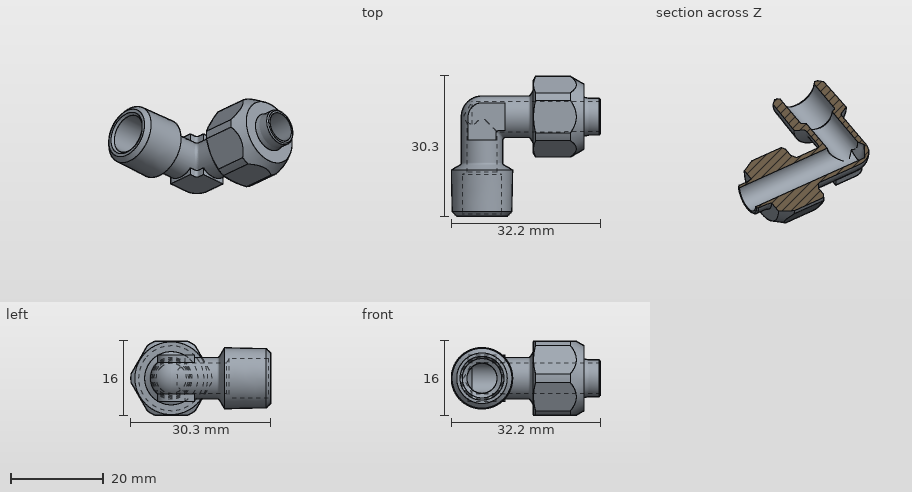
import cadquery as cq
import math


neck_radius = 4.5
neck_length = 9.0
neck_fillet = 0.5
inner_bend_fillet = 0.6
shoulder_angle = 60.0

pad_half_width = 3.0
pad_arm_reach = 5.0
pad_half_height = 5.0

thread_end = 21.5
thread_length = 10.0
thread_root_radius = 6.65
thread_tip_radius = 6.46
thread_chamfer = 1.0

nut_start = 11.05
nut_end = 22.05
nut_across_flats = 16.0
nut_corner_radius = 8.75
nut_back_radius = 7.85
nut_front_radius = 7.03
nut_back_angle = 60.0
nut_front_angle = 30.0
nut_shoulder_radius = 5.75

sleeve_end = 25.54
sleeve_radius = 4.0
sleeve_cone_length = 1.05
sleeve_cone_angle = 12.0
sleeve_chamfer = 0.3

bore_radius = 3.25
bore_end = 2.15
counterbore_radius = 4.25
counterbore_depth = 9.0
counterbore_chamfer = 0.5
drill_half_angle = 60.0


def tan_deg(angle):
    return math.tan(math.radians(angle))


def turn(outline):
    """Solid of revolution about +X from an outline in (axial, radius) coordinates."""
    return outline.close().revolve(360, (0, 0, 0), (1, 0, 0))


def turn_points(points):
    """Solid of revolution about +X from a straight-sided outline."""
    return turn(cq.Workplane("XY").polyline(points))


def along_minus_y(solid):
    """Swing a solid built along +X round to -Y."""
    return solid.rotate((0, 0, 0), (0, 0, 1), -90)


def shoulder_outline(wide_position, wide_radius):
    """Outline from the axis along the neck and up its blended shoulder cone."""
    slope = math.radians(shoulder_angle)
    corner = wide_position - (wide_radius - neck_radius) / math.tan(slope)
    tangent = neck_fillet * math.tan(slope / 2)
    arc_start = corner - tangent

    def arc_point(angle):
        return (
            arc_start + neck_fillet * math.sin(angle),
            neck_radius + neck_fillet * (1 - math.cos(angle)),
        )

    return (
        cq.Workplane("XY")
        .lineTo(0, neck_radius)
        .lineTo(*arc_point(0))
        .threePointArc(arc_point(slope / 2), arc_point(slope))
        .lineTo(wide_position, wide_radius)
    )


def make_pads():
    """Flat L-shaped pads with a round outer corner, one on each side of the elbow."""
    w = pad_half_width
    pads = (
        cq.Workplane("XY", origin=(0, 0, -pad_half_height))
        .moveTo(-w, 0)
        .radiusArc((0, w), w)
        .lineTo(pad_arm_reach, w)
        .lineTo(pad_arm_reach, -w)
        .lineTo(w, -w)
        .lineTo(w, -pad_arm_reach)
        .lineTo(-w, -pad_arm_reach)
        .close()
        .extrude(2 * pad_half_height)
    )
    pad_base = math.sqrt(neck_radius**2 - w**2)
    gap = cq.Workplane("XY").box(4 * pad_arm_reach, 4 * pad_arm_reach, 2 * pad_base)
    return pads.cut(gap)


def make_elbow():
    """Two necks with a ball at the outside of the bend, wrench pads and a blended inside."""
    neck = cq.Workplane("YZ").circle(neck_radius).extrude(neck_length)
    ball = cq.Workplane("XY").sphere(neck_radius)
    elbow = neck.union(along_minus_y(neck)).union(ball).union(make_pads())
    w = pad_half_width
    inside_corner = cq.selectors.BoxSelector(
        (w - inner_bend_fillet, -w + inner_bend_fillet, -pad_half_height),
        (neck_radius, -neck_radius, pad_half_height),
    )
    crease = elbow.edges(inside_corner).edges("not(|X or |Y)")
    return crease.fillet(inner_bend_fillet)


def make_thread_leg():
    """Shoulder and tapered thread body with a chamfered end."""
    outline = (
        shoulder_outline(thread_end - thread_length, thread_root_radius)
        .lineTo(thread_end - thread_chamfer, thread_tip_radius)
        .lineTo(thread_end, thread_tip_radius - thread_chamfer)
        .lineTo(thread_end, 0)
    )
    return along_minus_y(turn(outline))


def make_nut():
    """Hexagon with flats at +Z and -Z, trimmed by a turned envelope with end chamfers."""
    corner_radius = nut_across_flats / math.sqrt(3)
    hexagon = (
        cq.Workplane("YZ", origin=(nut_start, 0, 0))
        .polygon(6, 2 * corner_radius)
        .extrude(nut_end - nut_start)
    )
    back_chamfer = (nut_corner_radius - nut_back_radius) / tan_deg(nut_back_angle)
    front_chamfer = (nut_corner_radius - nut_front_radius) / tan_deg(nut_front_angle)
    envelope = turn_points([
        (nut_start, 0),
        (nut_start, nut_back_radius),
        (nut_start + back_chamfer, nut_corner_radius),
        (nut_end - front_chamfer, nut_corner_radius),
        (nut_end, nut_front_radius),
        (nut_end, 0),
    ])
    return hexagon.intersect(envelope)


def make_nut_leg():
    """Shoulder, union nut and the sleeve protruding from it."""
    shoulder = turn(shoulder_outline(nut_start, nut_shoulder_radius).lineTo(nut_start, 0))
    sleeve_base_radius = sleeve_radius + sleeve_cone_length * tan_deg(sleeve_cone_angle)
    sleeve = turn_points([
        (nut_end, 0),
        (nut_end, sleeve_base_radius),
        (nut_end + sleeve_cone_length, sleeve_radius),
        (sleeve_end - sleeve_chamfer, sleeve_radius),
        (sleeve_end, sleeve_radius - sleeve_chamfer),
        (sleeve_end, 0),
    ])
    return shoulder.union(make_nut()).union(sleeve)


def make_tube_bore():
    """Bore along X, ending in a drill tip beyond the Y axis."""
    return turn_points([
        (-bore_end - bore_radius / tan_deg(drill_half_angle), 0),
        (-bore_end, bore_radius),
        (sleeve_end, bore_radius),
        (sleeve_end, 0),
    ])


def make_thread_bore():
    """Bore along Y up to the X bore, with a drilled and chamfered counterbore."""
    counterbore_end = thread_end - counterbore_depth
    tip_depth = (counterbore_radius - bore_radius) / tan_deg(drill_half_angle)
    bore = turn_points([
        (0, 0),
        (0, bore_radius),
        (counterbore_end - tip_depth, bore_radius),
        (counterbore_end, counterbore_radius),
        (thread_end - counterbore_chamfer, counterbore_radius),
        (thread_end, counterbore_radius + counterbore_chamfer),
        (thread_end, 0),
    ])
    return along_minus_y(bore)


body = make_elbow().union(make_thread_leg()).union(make_nut_leg())
result = body.cut(make_tube_bore()).cut(make_thread_bore())